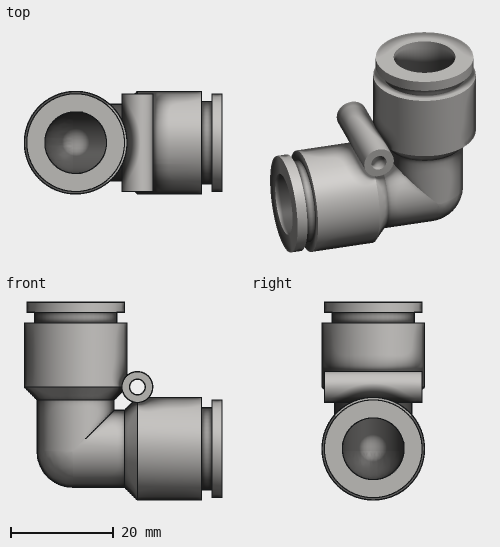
import cadquery as cq
import math

overall_length = 38.5
body_diameter = 20.0
arm_length = overall_length - body_diameter / 2

pipe_diameter = 15.0
bore_diameter = 12.0
corner_setback = 0.5

cone_start = 9.5
cone_end = 12.0
neck_diameter = 16.0
neck_length = 2.0
collar_diameter = 19.0
collar_length = 2.0
collar_start = arm_length - collar_length
body_end = collar_start - neck_length

lug_offset = 12.0
lug_diameter = 6.0
lug_hole_diameter = 3.0
lug_width = 19.0


def elbow_tube(diameter, length):
    """Round tube along +Z and +X with a sharp inside and a rounded outside corner."""
    radius = diameter / 2
    bend_axis = -corner_setback
    half_chord = math.sqrt(radius**2 - bend_axis**2)
    mitre_side = (
        cq.Workplane("XZ")
        .polyline([(-length, bend_axis), (bend_axis, bend_axis), (length, length), (-length, length)])
        .close()
        .extrude(diameter, both=True)
    )
    upright = (
        cq.Workplane("XY")
        .workplane(offset=bend_axis)
        .circle(radius)
        .extrude(length - bend_axis)
        .intersect(mitre_side)
    )
    level = upright.rotate((0, 0, 0), (1, 0, 1), 180)
    corner = (
        cq.Workplane("XY")
        .workplane(offset=bend_axis)
        .moveTo(bend_axis, -half_chord)
        .threePointArc((-radius, 0), (bend_axis, half_chord))
        .close()
        .revolve(90, (bend_axis, half_chord, 0), (bend_axis, -half_chord, 0))
    )
    return upright.union(level).union(corner)


def socket():
    """Cone, body, neck and release collar, turned about Z."""
    return (
        cq.Workplane("XZ")
        .moveTo(0, cone_start)
        .lineTo(pipe_diameter / 2, cone_start)
        .lineTo(body_diameter / 2, cone_end)
        .lineTo(body_diameter / 2, body_end)
        .lineTo(neck_diameter / 2, body_end)
        .lineTo(neck_diameter / 2, collar_start)
        .lineTo(collar_diameter / 2, collar_start)
        .lineTo(collar_diameter / 2, arm_length)
        .lineTo(0, arm_length)
        .close()
        .revolve(360, (0, 0, 0), (0, 1, 0))
    )


def cross_cylinder(diameter):
    """Cylinder along Y at the cross tube's place."""
    return (
        cq.Workplane("XZ")
        .center(lug_offset, lug_offset)
        .circle(diameter / 2)
        .extrude(lug_width / 2, both=True)
    )


upper_socket = socket()
side_socket = upper_socket.rotate((0, 0, 0), (0, 1, 0), 90)

result = (
    elbow_tube(pipe_diameter, cone_end)
    .union(upper_socket)
    .union(side_socket)
    .union(cross_cylinder(lug_diameter))
    .cut(cross_cylinder(lug_hole_diameter))
    .cut(elbow_tube(bore_diameter, arm_length))
)